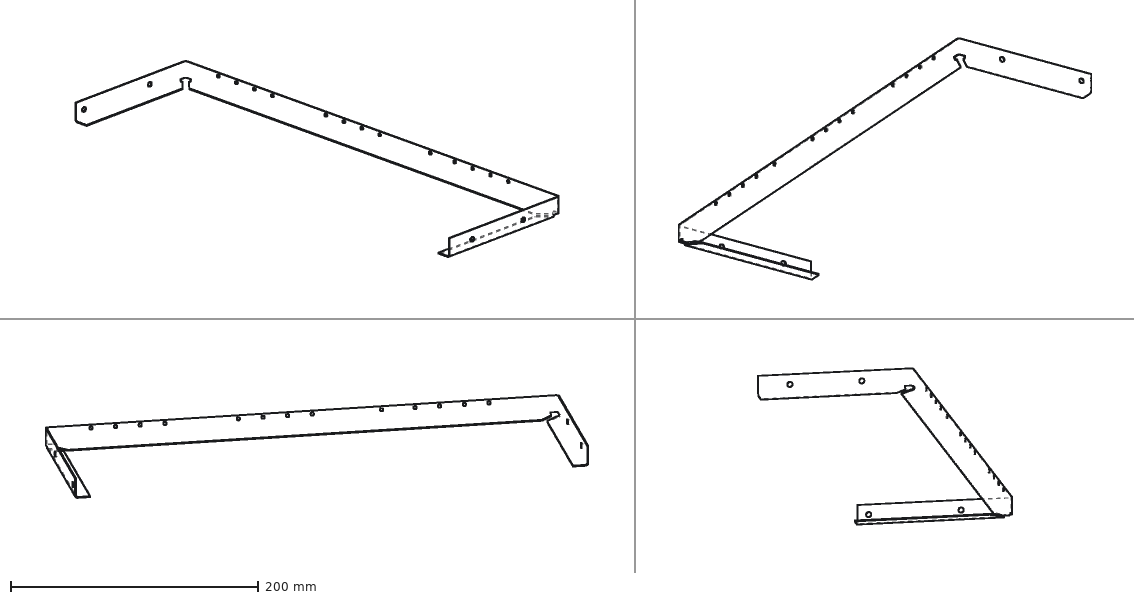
import cadquery as cq

length = 423.0
depth = 127.7
height = 17.0

thickness = 1.0
outer_radius = 2.5
inner_radius = outer_radius - thickness

flange_width = 12.5
notch_length = 6.8
notch_depth = 3.17
miter_length = notch_length + flange_width - notch_depth

small_diameter = 2.7
small_pitch = 20.5
small_edge_distance = 3.0
small_groups = [(-174.0, 4), (-52.5, 4), (65.5, 1), (93.0, 4)]

side_diameter = 4.2
side_hole_height = height / 2
left_hole_distances = [42.5, 118.5]
right_hole_distances = [42.5, 101.5]

half_length = length / 2
back = depth / 2
front = -depth / 2


def rounded_block(inset, radius):
    """Block inset from the outside, round at both back corners and the bottom edge, open at the front."""
    sizes = (length - 2 * inset, depth - inset, height - inset)
    block = cq.Workplane("XY").box(*sizes, centered=(True, False, False))
    block = block.translate((0, front, inset))
    return block.edges("(|Z and >Y) or (<Z and (not <Y))").fillet(radius)


def make_shell():
    """Bent sheet with a back wall, two side walls and a full floor."""
    return rounded_block(0, outer_radius).cut(rounded_block(thickness, inner_radius))


def floor_opening():
    """Opening that leaves the flanges, with a mitred gap reaching each back corner."""
    half_opening = half_length - flange_width
    half_miter = half_length - miter_length
    half_notch = half_length - notch_length
    half_shoulder = half_length - notch_depth
    right_half = [
        (half_opening, front),
        (half_opening, back - miter_length),
        (half_shoulder, back - notch_length),
        (half_length, back - notch_length),
        (half_length, back),
        (half_notch, back),
        (half_notch, back - notch_depth),
        (half_miter, back - flange_width),
    ]
    left_half = [(-x, y) for x, y in reversed(right_half)]
    return cq.Workplane("XY").polyline(right_half + left_half).close().extrude(outer_radius)


def back_wall_holes():
    """Groups of evenly spaced holes through the back wall."""
    hole_height = height - small_edge_distance
    points = [(first_x + i * small_pitch, hole_height) for first_x, count in small_groups for i in range(count)]
    plane = cq.Workplane("XZ", origin=(0, back, 0))
    return plane.pushPoints(points).circle(small_diameter / 2).extrude(thickness)


def side_wall_holes(wall_x, distances):
    """Holes through the side wall whose left face is at wall_x."""
    points = [(back - distance, side_hole_height) for distance in distances]
    plane = cq.Workplane("YZ", origin=(wall_x, 0, 0))
    return plane.pushPoints(points).circle(side_diameter / 2).extrude(thickness)


result = make_shell().cut(floor_opening()).cut(back_wall_holes())
result = result.cut(side_wall_holes(-half_length, left_hole_distances))
result = result.cut(side_wall_holes(half_length - thickness, right_hole_distances))